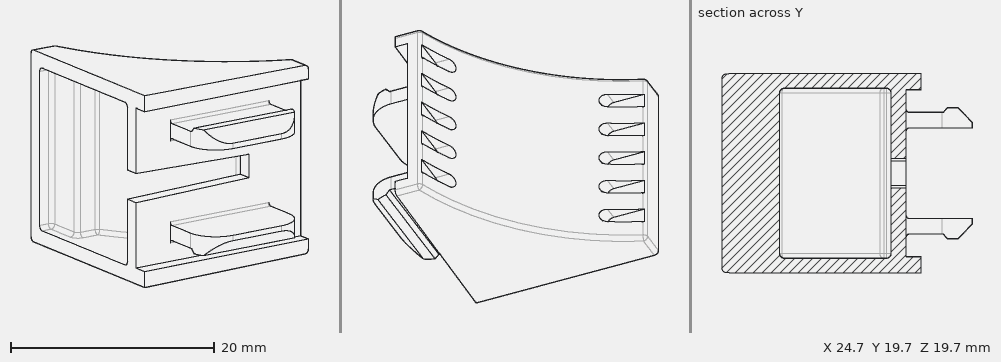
import cadquery as cq
import math

size = 19.7
end_flat = 2.9
arc_radius = 27.6
draft = 0.5
edge_round = 0.45
mid_z = size / 2

wall = 1.5
back_lip = 1.5
lip_thickness = 1.65
cavity_round = 0.45
back_outer = size - back_lip
back_inner = back_outer - wall
notch_mouth = 3.0
notch_end = 2.4

groove_count = 5
groove_pitch = 3.5
groove_width = 1.5
groove_length = 4.25
groove_floor = 2.95
pad_length = groove_length + wall

hook_tip = 24.7
hook_inner = 4.45
hook_thickness = 1.55
barb_height = 0.45
barb_start = 21.85
barb_top_start = 22.25
barb_top_end = 23.3
tip_thickness = 0.55
hook_width = 11.8
hook_mid_y = 10.0
hook_corner = 3.0
hook_root_round = 0.3

half_chord = (size - end_flat) / math.sqrt(2)
chord_mid_x = (size - end_flat) / 2
centre_shift = math.sqrt(arc_radius**2 - half_chord**2) / math.sqrt(2)
arc_x = chord_mid_x - centre_shift
arc_y = size - arc_x


def front_cylinder(radius):
    """Full-height cylinder about the axis of the concave front."""
    return cq.Workplane("XY").center(arc_x, arc_y).circle(radius).extrude(size)


def block(x_range, y_range, z_range):
    """Axis-aligned block between the given limits."""
    lengths = [high - low for low, high in (x_range, y_range, z_range)]
    corner = (x_range[0], y_range[0], z_range[0])
    return cq.Workplane("XY").box(*lengths, centered=False).translate(corner)


def make_body():
    """Solid bracket, drafted along Y, with rounded outer edges."""
    spare = size
    plane = cq.Plane(origin=(0, 0, mid_z), xDir=(1, 0, 0), normal=(0, 1, 0))
    envelope = (
        cq.Workplane(plane)
        .center((size - spare) / 2, 0)
        .rect(size + spare, size)
        .extrude(size, taper=draft)
    )
    body = envelope.intersect(block((0, size), (0, size), (0, size)))
    body = body.cut(front_cylinder(arc_radius))
    end_edges = body.faces("<X or >Y").edges("not(<Y or >X)")
    arc_edges = body.edges("%CIRCLE or %ELLIPSE or %BSPLINE")
    return end_edges.add(arc_edges).fillet(edge_round)


def make_cavity():
    """Hollow that follows the concave front and leaves thick pads behind the grooves."""
    cavity = block((wall, back_inner), (-size, size - pad_length), (wall, size - wall))
    cavity = cavity.cut(front_cylinder(arc_radius + wall))
    pad = block((-wall, pad_length), (wall, size), (0, size))
    cavity = cavity.cut(pad)
    return cavity.edges("not <Y").fillet(cavity_round)


def make_notch():
    """Tapered notch through the back wall, open at Y = 0."""
    depth = size - pad_length - cavity_round
    return (
        cq.Workplane("YZ", origin=(back_inner, 0, mid_z))
        .moveTo(0, -notch_mouth / 2)
        .lineTo(depth, -notch_end / 2)
        .lineTo(depth, notch_end / 2)
        .lineTo(0, notch_mouth / 2)
        .close()
        .extrude(back_lip + wall)
    )


def make_grooves():
    """Round-ended grooves: one row cut along X, the other cut along Y."""
    radius = groove_width / 2
    reach = groove_length - radius
    upper = size - reach
    grooves = cq.Workplane("XY")
    for index in range(groove_count):
        z = mid_z + (index - (groove_count - 1) / 2) * groove_pitch
        z_range = (z - radius, z + radius)
        floor_x = size - groove_floor
        grooves = grooves.add(block((0, floor_x), (upper, size), z_range))
        grooves = grooves.add(
            cq.Workplane("YZ").center(upper, z).circle(radius).extrude(floor_x)
        )
        grooves = grooves.add(block((0, reach), (groove_floor, size), z_range))
        grooves = grooves.add(
            cq.Workplane("XZ", origin=(0, size, 0))
            .center(reach, z)
            .circle(radius)
            .extrude(size - groove_floor)
        )
    return grooves.combine()


def make_hook():
    """Upper snap hook, with an outward barb and rounded tip corners."""
    inner = mid_z + hook_inner
    outer = inner + hook_thickness
    root = back_outer - wall / 2
    hook = (
        cq.Workplane("XZ", origin=(0, hook_mid_y, 0))
        .moveTo(root, inner)
        .lineTo(hook_tip, inner)
        .lineTo(hook_tip, inner + tip_thickness)
        .lineTo(barb_top_end, outer + barb_height)
        .lineTo(barb_top_start, outer + barb_height)
        .lineTo(barb_start, outer)
        .lineTo(root, outer)
        .close()
        .extrude(hook_width / 2, both=True)
    )
    plan = (
        cq.Workplane("XY")
        .center((root + hook_tip) / 2, hook_mid_y)
        .rect(hook_tip - root, hook_width)
        .extrude(size)
        .edges(">X and |Z")
        .fillet(hook_corner)
    )
    return hook.intersect(plan)


def round_hook_roots(part):
    """Fillet the hook faces into the back wall."""
    slack = 0.05
    for height in (hook_inner, hook_inner + hook_thickness):
        for z in (mid_z - height, mid_z + height):
            corner = cq.selectors.BoxSelector(
                (back_outer - slack, 0, z - slack),
                (back_outer + slack, size, z + slack),
            )
            part = part.edges(corner).edges("|Y").fillet(hook_root_round)
    return part


channel = block((back_outer, 2 * size), (-size, 2 * size), (lip_thickness, size - lip_thickness))
upper_hook = make_hook()
lower_hook = upper_hook.mirror("XY", (0, 0, mid_z))

result = make_body().cut(make_grooves()).cut(make_cavity()).cut(channel).cut(make_notch())
result = round_hook_roots(result.union(upper_hook).union(lower_hook))